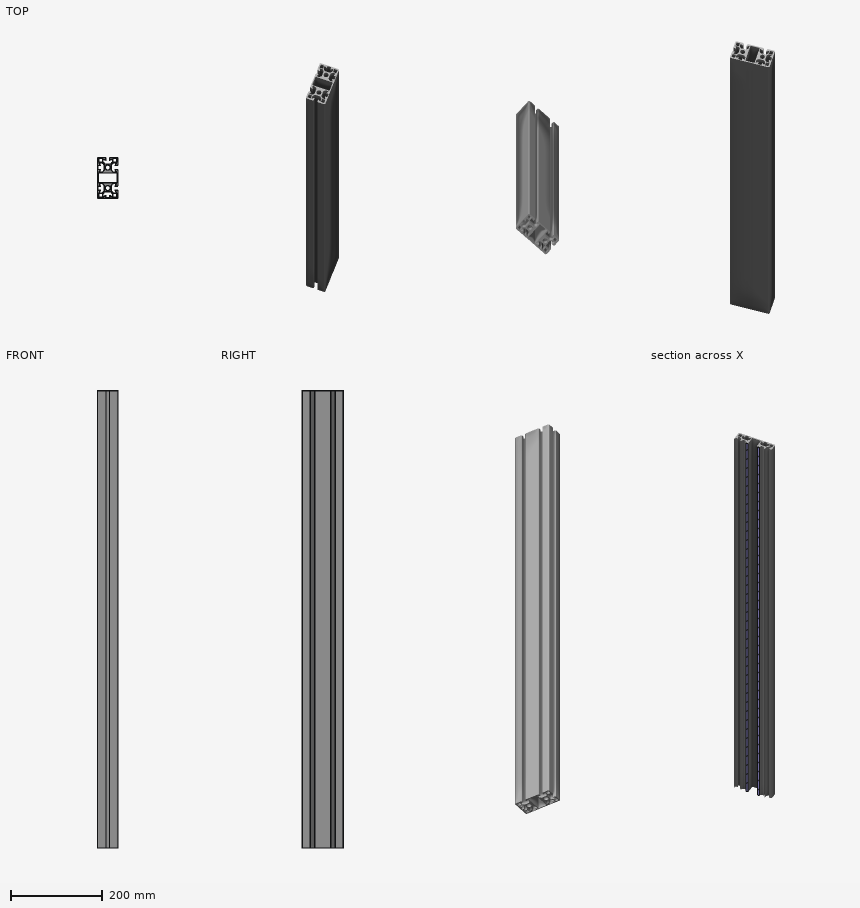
import cadquery as cq

WIDTH = 45.0
HEIGHT = 90.0
LENGTH = 1000.0
CORNER_RADIUS = 3.0

MODULE = WIDTH
HALF_MODULE = MODULE / 2
MODULE_CENTER_Y = (HEIGHT - MODULE) / 2

MOUTH_HALF = 5.6
MOUTH_DEPTH = 1.7
NECK_HALF = 4.1
LIP_TIP_DEPTH = 6.9
LIP_ROOT_DEPTH = 3.6
CAVITY_HALF = 10.2
SLOT_DEPTH = 14.5
SLOT_CHAMFER = 4.2
FLOOR_HALF = CAVITY_HALF - SLOT_CHAMFER
SIDE_DEPTH = SLOT_DEPTH - SLOT_CHAMFER
SKIN = 1.5

CORE_BORE_RADIUS = 5.3
CORNER_WALL = 3.1
CORNER_HOLLOW = 7.7
CHAMBER_WALL = 2.4
CHAMBER_HEIGHT = 21.0

RELIEF_HEIGHT = 15.0
RELIEF_DEPTH = 0.2


def base_plane(x=0, y=0):
    """Workplane on the lower end face, with its origin at the given X and Y."""
    return cq.Workplane("XY", origin=(x, y, -LENGTH / 2))


def t_slot(center_y, angle, is_open):
    """Void of one T-slot, drawn in the +Y face of a module and turned about the module axis."""
    if is_open:
        entry = [(MOUTH_HALF, 0), (NECK_HALF, MOUTH_DEPTH)]
    else:
        entry = [(NECK_HALF, SKIN)]
    half_section = entry + [
        (NECK_HALF, LIP_TIP_DEPTH),
        (CAVITY_HALF, LIP_ROOT_DEPTH),
        (CAVITY_HALF, SIDE_DEPTH),
        (FLOOR_HALF, SLOT_DEPTH),
    ]
    right_side = [(offset, HALF_MODULE - depth) for offset, depth in half_section]
    left_side = [(-x, y) for x, y in reversed(right_side)]
    void = base_plane().polyline(right_side + left_side).close().extrude(LENGTH)
    return void.rotate((0, 0, 0), (0, 0, 1), angle).translate((0, center_y, 0))


def corner_hollows():
    """Square hollows running through the four corners."""
    inset = CORNER_WALL + CORNER_HOLLOW / 2
    centers = base_plane().rect(WIDTH - 2 * inset, HEIGHT - 2 * inset, forConstruction=True).vertices()
    return centers.rect(CORNER_HOLLOW, CORNER_HOLLOW).extrude(LENGTH)


def central_chamber():
    """Rectangular chamber between the two modules."""
    return base_plane().rect(WIDTH - 2 * CHAMBER_WALL, CHAMBER_HEIGHT).extrude(LENGTH)


def core_bore(center_y):
    """Round bore through the core of one module."""
    return base_plane(y=center_y).circle(CORE_BORE_RADIUS).extrude(LENGTH)


def relief_strip():
    """Shallow strip taken off the -X face, centred on the face plane."""
    return base_plane(x=-WIDTH / 2).rect(2 * RELIEF_DEPTH, RELIEF_HEIGHT).extrude(LENGTH)


profile = base_plane().rect(WIDTH, HEIGHT).extrude(LENGTH).edges("|Z").fillet(CORNER_RADIUS)
profile = profile.cut(corner_hollows())
profile = profile.cut(central_chamber())
profile = profile.cut(relief_strip())

for module_y in (-MODULE_CENTER_Y, MODULE_CENTER_Y):
    profile = profile.cut(core_bore(module_y))
    profile = profile.cut(t_slot(module_y, -90, is_open=True))
    profile = profile.cut(t_slot(module_y, 90, is_open=False))

profile = profile.cut(t_slot(MODULE_CENTER_Y, 0, is_open=True))
profile = profile.cut(t_slot(-MODULE_CENTER_Y, 180, is_open=False))

result = profile